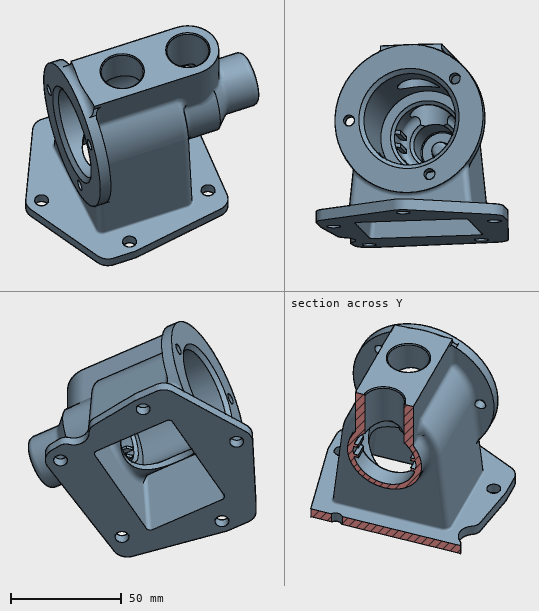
import cadquery as cq
import math


wall = 3.0
casting_radius = 3.0
overlap = 1.0

plate_thickness = 5.0
plate_half_width = 42.95
plate_tip_y = -22.0
plate_front_corner_y = -1.4
plate_side_bend_y = 13.7
plate_back_left = (-35.1, 67.1)
plate_back_right = (34.1, 63.8)
plate_corner_radius = 7.0
notch_center = (-40.1, 47.1)
notch_radius = 7.0
notch_corner_radius = 5.0
plate_hole_diameter = 6.2
plate_holes = [(-29.0, 60.0), (23.0, 57.0), (-36.85, 13.1), (36.85, 13.1), (0.0, -14.8)]

axis_z = 46.0
arch_radius = 24.0
draft = math.radians(6)
housing_front_y = 2.0
housing_back_y = 48.0
base_fillet = 1.0

flange_diameter = 68.0
flange_radius = flange_diameter / 2
flange_thickness = 5.2
flange_hole_diameter = 4.92
flange_hole_circle_radius = 27.5
flange_hole_angles = (180, 40, -70)
flange_hole_depth = 12.0
skirt_radius = 1.9

boss_diameter = 36.0
nose_diameter = 25.0
cone_start_y = 65.0
nose_end_y = 87.0

arm_width = 28.0
arm_top_z = 80.8
arm_blend_flare = 1.7
arm_blend_side_z = 78.8
port_diameter = 19.0
port_chamfer = 0.5
front_port_y = 24.5
back_port_y = 56.5

bore_diameter = 42.0
bore_chamfer = 2.0
bore_floor_y = housing_back_y - wall
boss_bore_diameter = boss_diameter - 2 * wall
boss_bore_chamfer = 1.5
boss_bore_floor_y = 63.7
nose_bore_diameter = nose_diameter - 2 * wall
nose_bore_chamfer = 1.5
nose_bore_floor_y = nose_end_y - wall
nose_floor_chamfer = 0.5

spigot_diameter = 8.0
spigot_length = 6.0
spigot_tip_radius = 2.3
spigot_base_chamfer = 0.5

rib_inner_x = 12.6
rib_near_z = 2.1
rib_far_z = 3.9

cavity_opening_diameter = 36.0
cavity_corner_radius = 2.0


def cylinder_y(diameter, y_start, y_end):
    """Cylinder about the bore axis."""
    return (
        cq.Workplane("XZ", origin=(0, y_start, axis_z))
        .circle(diameter / 2)
        .extrude(y_start - y_end)
    )


def revolve_about_bore(profile):
    """Turn a (radius, y) wire drawn in the XY plane about the bore axis."""
    return profile.revolve(360, (0, 0, 0), (0, 1, 0)).translate((0, 0, axis_z))


def box_between(low, high):
    size = [b - a for a, b in zip(low, high)]
    return cq.Workplane("XY").box(*size, centered=False).translate(low)


def edges_where(solid, test, samples=7):
    """Edges whose sample points all satisfy test(x, y, z)."""
    picked = []
    for edge in solid.edges().vals():
        points = [edge.positionAt(i / (samples - 1)) for i in range(samples)]
        if all(test(p.x, p.y, p.z) for p in points):
            picked.append(edge)
    return solid.newObject(picked)


def near(a, b, tolerance=0.01):
    return abs(a - b) < tolerance


def make_plate():
    tip_rise = plate_front_corner_y - (plate_tip_y + plate_corner_radius)
    corner_distance = math.hypot(plate_half_width, tip_rise)
    tip_angle = math.atan2(tip_rise, plate_half_width) + math.asin(plate_corner_radius / corner_distance)
    sharp_tip_y = plate_front_corner_y - plate_half_width * math.tan(tip_angle)
    plate = (
        cq.Workplane("XY")
        .polyline([
            (0, sharp_tip_y),
            (plate_half_width, plate_front_corner_y),
            (plate_half_width, plate_side_bend_y),
            plate_back_right,
            plate_back_left,
            (-plate_half_width, plate_side_bend_y),
            (-plate_half_width, plate_front_corner_y),
        ])
        .close()
        .extrude(plate_thickness)
        .edges("|Z")
        .fillet(plate_corner_radius)
    )
    notch = cq.Workplane("XY").center(*notch_center).circle(notch_radius).extrude(plate_thickness)
    plate = plate.cut(notch)

    def on_notch(x, y, z):
        return near(math.dist((x, y), notch_center), notch_radius)

    corners = edges_where(plate, on_notch).edges("|Z")
    return corners.fillet(notch_corner_radius)


def arch(radius, y_start, y_end):
    """Half-round top with tangent drafted sides, running down to z = 0."""
    tangent_x = radius * math.cos(draft)
    tangent_z = axis_z + radius * math.sin(draft)
    foot_x = tangent_x + tangent_z * math.tan(draft)
    return (
        cq.Workplane("XZ", origin=(0, y_start, 0))
        .moveTo(-foot_x, 0)
        .lineTo(-tangent_x, tangent_z)
        .threePointArc((0, axis_z + radius), (tangent_x, tangent_z))
        .lineTo(foot_x, 0)
        .close()
        .extrude(y_start - y_end)
    )


def make_housing():
    housing = arch(arch_radius, housing_front_y, housing_back_y)

    def on_end_rim(x, y, z):
        return near(y, housing_front_y) or near(y, housing_back_y)

    return edges_where(housing, on_end_rim).edges("not <Z").fillet(casting_radius)


def make_boss():
    r = casting_radius
    boss_radius = boss_diameter / 2
    nose_radius = nose_diameter / 2
    cone_end_y = cone_start_y + boss_radius - nose_radius
    half_turn = math.radians(45) / 2
    blend = r * math.tan(half_turn)
    blend_diagonal = blend * math.sqrt(0.5)
    bulge = r * math.sqrt(0.5)
    profile = (
        cq.Workplane("XY")
        .moveTo(0, bore_floor_y)
        .lineTo(boss_radius + r, bore_floor_y)
        .lineTo(boss_radius + r, housing_back_y)
        .threePointArc(
            (boss_radius + r - bulge, housing_back_y + r - bulge),
            (boss_radius, housing_back_y + r),
        )
        .lineTo(boss_radius, cone_start_y)
        .lineTo(nose_radius + blend_diagonal, cone_end_y - blend_diagonal)
        .threePointArc(
            (nose_radius + r - r * math.cos(half_turn), cone_end_y + blend - r * math.sin(half_turn)),
            (nose_radius, cone_end_y + blend),
        )
        .lineTo(nose_radius, nose_end_y - r)
        .threePointArc((nose_radius - r + bulge, nose_end_y - r + bulge), (nose_radius - r, nose_end_y))
        .lineTo(0, nose_end_y)
        .close()
    )
    return revolve_about_bore(profile)


def make_arm():
    half_width = arm_width / 2
    return (
        cq.Workplane("XY", origin=(0, 0, axis_z))
        .moveTo(-half_width, flange_thickness)
        .lineTo(-half_width, back_port_y)
        .threePointArc((0, back_port_y + half_width), (half_width, back_port_y))
        .lineTo(half_width, flange_thickness)
        .close()
        .extrude(arm_top_z - axis_z)
    )


def round_arm_foot(body):
    """Fillet the seam where the arm walls meet the housing and the boss."""
    half_width = arm_width / 2

    def on_arm_wall(x, y, z):
        if y <= back_port_y:
            return near(abs(x), half_width)
        return near(math.hypot(x, y - back_port_y), half_width)

    def on_seam(x, y, z):
        return on_arm_wall(x, y, z) and axis_z < z < arm_top_z

    seam = edges_where(body, on_seam)
    upright = cq.selectors.ParallelDirSelector(cq.Vector(0, 0, 1))
    rising = upright.filter(seam.vals())
    seam = body.newObject([edge for edge in seam.vals() if edge not in rising])
    return seam.fillet(casting_radius)


def round_flange_back(body):
    """Fillet the back of the flange into the housing sides and the arm walls."""

    def on_flange_back(x, y, z):
        return near(y, flange_thickness) and math.hypot(x, z - axis_z) < flange_radius + 0.01

    def on_flange_rim(edge):
        middle = edge.positionAt(0.5)
        return near(math.hypot(middle.x, middle.z - axis_z), flange_radius)

    seam = edges_where(body, on_flange_back)
    seam = body.newObject([edge for edge in seam.vals() if not on_flange_rim(edge)])
    return seam.fillet(casting_radius)


def round_flange_skirt(body):
    """Fillet the flange rim into the front face of the housing."""

    def on_skirt(x, y, z):
        return near(y, housing_front_y) and near(math.hypot(x, z - axis_z), flange_radius)

    return edges_where(body, on_skirt).fillet(skirt_radius)


def make_arm_front_ring():
    """Full ring with the concave section that runs from the flange rim up to the arm front."""
    r = casting_radius
    bulge = r * math.sqrt(0.5)
    return revolve_about_bore(
        cq.Workplane("XY")
        .moveTo(flange_radius, flange_thickness - r)
        .threePointArc(
            (flange_radius + r - bulge, flange_thickness - r + bulge),
            (flange_radius + r, flange_thickness),
        )
        .lineTo(flange_radius - overlap, flange_thickness)
        .lineTo(flange_radius - overlap, flange_thickness - r)
        .close()
    )


def make_arm_corner_strip():
    """Upright strip with the fillet section between the flange back and the +X arm wall."""
    r = casting_radius
    bulge = r * math.sqrt(0.5)
    wall_x = arm_width / 2
    return (
        cq.Workplane("XY", origin=(0, 0, axis_z + arch_radius))
        .moveTo(wall_x - overlap, flange_thickness)
        .lineTo(wall_x + r, flange_thickness)
        .threePointArc(
            (wall_x + r - bulge, flange_thickness + r - bulge),
            (wall_x, flange_thickness + r),
        )
        .lineTo(wall_x - overlap, flange_thickness + r)
        .close()
        .extrude(arm_top_z - axis_z - arch_radius)
    )


def make_arm_blend():
    """Blend of the arm onto the flange rim; beside the arm it slopes down to the rim."""
    wall_x = arm_width / 2
    rim_x = wall_x + arm_blend_flare
    rim_z = axis_z + math.sqrt(flange_radius ** 2 - rim_x ** 2)
    slope = (arm_blend_side_z - rim_z) / arm_blend_flare
    foot_x = wall_x + casting_radius
    foot_z = arm_blend_side_z - slope * casting_radius
    right_side = [
        (foot_x, axis_z),
        (foot_x, foot_z),
        (wall_x, arm_blend_side_z),
        (wall_x, arm_top_z),
    ]
    left_side = [(-x, z) for x, z in reversed(right_side)]
    envelope = cq.Workplane("XZ").polyline(right_side + left_side).close().extrude(-back_port_y)
    strip = make_arm_corner_strip()
    return make_arm_front_ring().union(strip).union(strip.mirror("YZ")).intersect(envelope)


def round_housing_foot(body):
    """Fillet the housing walls into the top of the base plate."""

    def on_foot(x, y, z):
        within = abs(x) < flange_radius and 0 < y < housing_back_y + base_fillet
        return near(z, plate_thickness) and within

    return edges_where(body, on_foot).fillet(base_fillet)


def make_bore_tube():
    """Tube around the bore inside the cavity, flared into both end walls."""
    r = casting_radius
    bulge = r * math.sqrt(0.5)
    tube_radius = bore_diameter / 2 + wall
    front_y = housing_front_y + wall
    return revolve_about_bore(
        cq.Workplane("XY")
        .moveTo(0, front_y - overlap)
        .lineTo(tube_radius + r, front_y - overlap)
        .lineTo(tube_radius + r, front_y)
        .threePointArc((tube_radius + r - bulge, front_y + r - bulge), (tube_radius, front_y + r))
        .lineTo(tube_radius, bore_floor_y - r)
        .threePointArc(
            (tube_radius + r - bulge, bore_floor_y - r + bulge),
            (tube_radius + r, bore_floor_y),
        )
        .lineTo(tube_radius + r, bore_floor_y + overlap)
        .lineTo(0, bore_floor_y + overlap)
        .close()
    )


def make_cavity():
    """Hollow under the bore: the housing shape less one wall, with the bore tube left standing."""
    front_y = housing_front_y + wall
    cavity = arch(arch_radius - wall, front_y, bore_floor_y)

    def on_end_wall(x, y, z):
        return near(y, front_y) or near(y, bore_floor_y)

    cavity = edges_where(cavity, on_end_wall).edges("not <Z").fillet(cavity_corner_radius)
    opening = (
        cq.Workplane("XY")
        .center(0, front_port_y)
        .circle(cavity_opening_diameter / 2)
        .extrude(axis_z)
    )
    return cavity.cut(make_bore_tube()).union(opening)


def make_bore():
    """Stepped bore from the flange face to the closed nose, turned in one profile."""
    r = casting_radius
    bulge = r * math.sqrt(0.5)
    bore_radius = bore_diameter / 2
    boss_bore_radius = boss_bore_diameter / 2
    nose_bore_radius = nose_bore_diameter / 2
    spigot_radius = spigot_diameter / 2
    spigot_tip_y = nose_bore_floor_y - spigot_length
    tip_bulge = spigot_tip_radius * math.sqrt(0.5)
    profile = (
        cq.Workplane("XY")
        .moveTo(0, 0)
        .lineTo(bore_radius + bore_chamfer, 0)
        .lineTo(bore_radius, bore_chamfer)
        .lineTo(bore_radius, bore_floor_y)
        .lineTo(boss_bore_radius + boss_bore_chamfer, bore_floor_y)
        .lineTo(boss_bore_radius, bore_floor_y + boss_bore_chamfer)
        .lineTo(boss_bore_radius, boss_bore_floor_y - r)
        .threePointArc(
            (boss_bore_radius - r + bulge, boss_bore_floor_y - r + bulge),
            (boss_bore_radius - r, boss_bore_floor_y),
        )
        .lineTo(nose_bore_radius + nose_bore_chamfer, boss_bore_floor_y)
        .lineTo(nose_bore_radius, boss_bore_floor_y + nose_bore_chamfer)
        .lineTo(nose_bore_radius, nose_bore_floor_y - nose_floor_chamfer)
        .lineTo(nose_bore_radius - nose_floor_chamfer, nose_bore_floor_y)
        .lineTo(spigot_radius + spigot_base_chamfer, nose_bore_floor_y)
        .lineTo(spigot_radius, nose_bore_floor_y - spigot_base_chamfer)
        .lineTo(spigot_radius, spigot_tip_y + spigot_tip_radius)
        .threePointArc(
            (
                spigot_radius - spigot_tip_radius + tip_bulge,
                spigot_tip_y + spigot_tip_radius - tip_bulge,
            ),
            (spigot_radius - spigot_tip_radius, spigot_tip_y),
        )
        .lineTo(0, spigot_tip_y)
        .close()
    )
    return revolve_about_bore(profile)


def make_guide_ribs():
    """Two pairs of ribs along the boss bore; their front ends carry on the bore chamfer."""
    outer_radius = boss_bore_diameter / 2 + boss_bore_chamfer
    bar = (
        cq.Workplane("XY", origin=(0, 0, axis_z - rib_far_z))
        .moveTo(outer_radius, bore_floor_y)
        .lineTo(outer_radius, boss_bore_floor_y + overlap)
        .lineTo(rib_inner_x, boss_bore_floor_y + overlap)
        .lineTo(rib_inner_x, bore_floor_y + outer_radius - rib_inner_x)
        .close()
        .extrude(2 * rib_far_z)
    )
    bars = bar.union(bar.mirror("YZ"))
    gap = box_between(
        (-outer_radius, 0, axis_z - rib_near_z), (outer_radius, nose_end_y, axis_z + rib_near_z)
    )
    boss_core = cylinder_y(boss_diameter - wall, 0, nose_end_y)
    return bars.cut(gap).intersect(boss_core)


def make_port(y):
    """Chamfered port from the top of the arm down to the bore axis."""
    shaft = cq.Workplane("XY", origin=(0, y, axis_z)).circle(port_diameter / 2)
    shaft = shaft.extrude(arm_top_z - axis_z)
    mouth = (
        cq.Workplane("XY", origin=(0, y, arm_top_z))
        .circle(port_diameter / 2 + port_chamfer)
        .workplane(offset=-port_chamfer)
        .circle(port_diameter / 2)
        .loft()
    )
    return shaft.union(mouth)


def drill_flange(body):
    for angle in flange_hole_angles:
        x = flange_hole_circle_radius * math.cos(math.radians(angle))
        z = flange_hole_circle_radius * math.sin(math.radians(angle))
        body = body.cut(cylinder_y(flange_hole_diameter, 0, flange_hole_depth).translate((x, 0, z)))
    return body


def drill_plate(body):
    holes = cq.Workplane("XY").pushPoints(plate_holes).circle(plate_hole_diameter / 2)
    return body.cut(holes.extrude(plate_thickness))


part = make_housing().union(make_boss()).union(make_arm())
part = round_arm_foot(part)
part = part.union(cylinder_y(flange_diameter, 0, flange_thickness))
part = round_flange_back(part)
part = round_flange_skirt(part)
part = part.union(make_arm_blend())
part = part.union(make_plate())
part = round_housing_foot(part)

part = part.cut(make_cavity())
part = part.cut(make_bore())
part = part.union(make_guide_ribs())
for port_y in (front_port_y, back_port_y):
    part = part.cut(make_port(port_y))
part = drill_flange(part)
result = drill_plate(part)